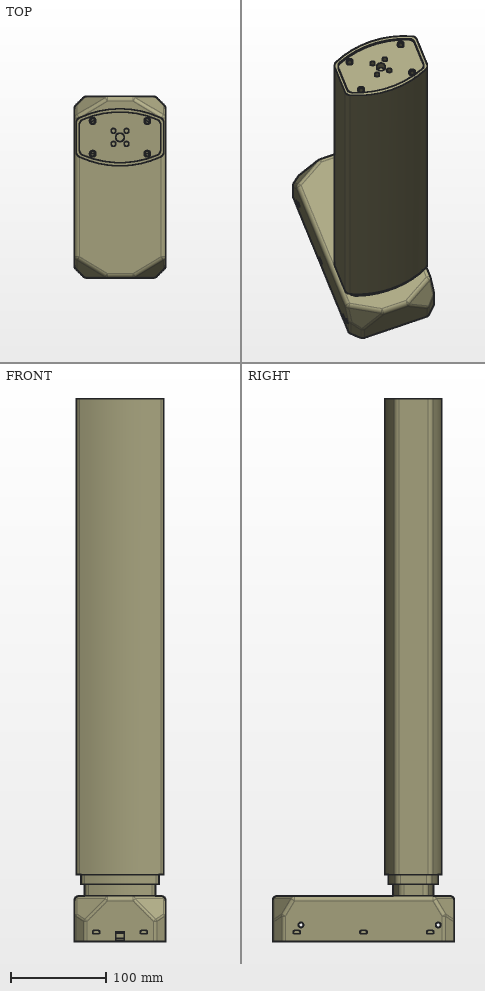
import cadquery as cq
import math

total_height = 569.75

base_width = 96.0
base_length = 190.79
base_height = 48.0
base_back_y = 43.2
base_front_y = base_back_y - base_length
base_center_y = base_back_y - base_length / 2
base_corner_chamfer = 11.0
base_edge_radius = 5.0

facet_reach_x = 37.0
facet_reach_y = 0.6 * facet_reach_x
facet_reach_z = facet_reach_x

slot_length = 7.6
slot_height = 3.4
slot_depth = 8.0
slot_z = 10.0
front_slot_spacing = 50.0
side_slot_spacing = 70.0

cross_hole_diameter = 5.0
cross_hole_z = 17.5
cross_hole_back_y = base_back_y - 17.0
cross_hole_spacing = 144.0

socket_size = 8.6
socket_z = 6.0
socket_depth = 8.0
connector_back_depth = 3.0
connector_tongue_height = 5.2
connector_tongue_length = 3.5

face_arc_radius = 100.0
stage_corner_radius = 6.0
outer_size = (92.0, 60.0)
outer_bottom = 70.3
outer_wall = 3.4
bore_size = (outer_size[0] - 2 * outer_wall, outer_size[1] - 2 * outer_wall)
middle_size = (82.2, bore_size[1])
middle_bottom = 60.0
inner_size = (74.6, 42.8)
inner_bottom = base_height

plate_recess = 3.0
plate_thickness = 12.0
plate_top = total_height - plate_recess
plate_bottom = plate_top - plate_thickness
corner_hole_spacing = (57.2, 34.4)
corner_hole_diameter = 5.0
corner_counterbore_diameter = 6.8
corner_counterbore_depth = 2.0
center_hole_diameter = 9.0
mount_hole_diameter = 5.0
mount_hole_spacing = 13.7


def stage_prism(size, bottom, top):
    """Column section: flat sides, arched front and back, rounded corners."""
    half_width = size[0] / 2
    half_depth = size[1] / 2
    arch_rise = face_arc_radius - math.sqrt(face_arc_radius**2 - half_width**2)
    half_side = half_depth - arch_rise
    return (
        cq.Workplane("XY", origin=(0, 0, bottom))
        .moveTo(-half_width, -half_side)
        .threePointArc((0, -half_depth), (half_width, -half_side))
        .lineTo(half_width, half_side)
        .threePointArc((0, half_depth), (-half_width, half_side))
        .close()
        .extrude(top - bottom)
        .edges("|Z")
        .fillet(stage_corner_radius)
    )


def facet_cutter(side_x, side_y):
    """Tetrahedron that slices the slanted facet off one top corner of the foot."""
    corner_y = base_center_y + side_y * base_length / 2
    corner = cq.Vector(side_x * base_width / 2, corner_y, base_height)
    along_x = corner + cq.Vector(-side_x * facet_reach_x, 0, 0)
    along_y = corner + cq.Vector(0, -side_y * facet_reach_y, 0)
    along_z = corner + cq.Vector(0, 0, -facet_reach_z)
    triangles = [
        [corner, along_x, along_y],
        [corner, along_y, along_z],
        [corner, along_z, along_x],
        [along_x, along_y, along_z],
    ]
    faces = [cq.Face.makeFromWires(cq.Wire.makePolygon(points, close=True)) for points in triangles]
    return cq.Workplane(cq.Solid.makeSolid(cq.Shell.makeShell(faces)))


def base_block():
    """Foot block with cut corners and rounded edges, flat underneath."""
    block = (
        cq.Workplane("XY", origin=(0, base_center_y, 0))
        .rect(base_width, base_length)
        .extrude(base_height)
        .edges("|Z")
        .chamfer(base_corner_chamfer)
    )
    for side_x in (-1, 1):
        for side_y in (-1, 1):
            block = block.cut(facet_cutter(side_x, side_y))
    return block.edges("not <Z").fillet(base_edge_radius)


def front_slots():
    """Pair of blind slots entering the front wall."""
    half_spacing = front_slot_spacing / 2
    return (
        cq.Workplane("XZ", origin=(0, base_front_y, slot_z))
        .pushPoints([(-half_spacing, 0), (half_spacing, 0)])
        .slot2D(slot_length, slot_height)
        .extrude(-slot_depth)
    )


def side_slots(side):
    """Row of three blind slots entering one side wall; side is -1 or 1."""
    return (
        cq.Workplane("YZ", origin=(side * base_width / 2, base_center_y, slot_z))
        .pushPoints([(-side_slot_spacing, 0), (0, 0), (side_slot_spacing, 0)])
        .slot2D(slot_length, slot_height)
        .extrude(-side * slot_depth)
    )


def cross_holes():
    """Two holes running through the foot along X."""
    return (
        cq.Workplane("YZ", origin=(0, 0, cross_hole_z))
        .pushPoints([(cross_hole_back_y, 0), (cross_hole_back_y - cross_hole_spacing, 0)])
        .circle(cross_hole_diameter / 2)
        .extrude(base_width / 2, both=True)
    )


def front_pocket(width, height, start_depth, end_depth):
    """Block centred on the socket, between two depths behind the front wall."""
    return (
        cq.Workplane("XZ", origin=(0, base_front_y + start_depth, socket_z))
        .rect(width, height)
        .extrude(start_depth - end_depth)
    )


def make_base():
    base = base_block()
    base = base.cut(front_slots())
    for side in (-1, 1):
        base = base.cut(side_slots(side))
    base = base.cut(cross_holes())
    return base.cut(front_pocket(socket_size, socket_size, 0, socket_depth))


def make_connector():
    """Connector filling the back of the socket, with a flat tongue toward the opening."""
    body_front = socket_depth - connector_back_depth
    tongue_front = body_front - connector_tongue_length
    body = front_pocket(socket_size, socket_size, body_front, socket_depth)
    tongue = front_pocket(socket_size, connector_tongue_height, tongue_front, body_front)
    return body.union(tongue)


def make_outer_tube():
    tube = stage_prism(outer_size, outer_bottom, total_height)
    return tube.cut(stage_prism(bore_size, outer_bottom, total_height))


def make_middle_tube():
    """Middle stage, sliding in the outer tube, bored to fit the inner stage."""
    tube = stage_prism(middle_size, middle_bottom, plate_bottom)
    return tube.cut(stage_prism(inner_size, middle_bottom, plate_bottom))


def make_inner_stage():
    """Inner stage standing on the foot."""
    return stage_prism(inner_size, inner_bottom, plate_bottom)


def make_top_plate():
    plate = stage_prism(bore_size, plate_bottom, plate_top)
    plate = (
        plate.faces(">Z")
        .workplane(origin=(0, 0, plate_top))
        .rect(*corner_hole_spacing, forConstruction=True)
        .vertices()
        .cboreHole(corner_hole_diameter, corner_counterbore_diameter, corner_counterbore_depth)
    )
    plate = (
        plate.faces(">Z")
        .workplane(origin=(0, 0, plate_top))
        .hole(center_hole_diameter)
    )
    return (
        plate.faces(">Z")
        .workplane(origin=(0, 0, plate_top))
        .rect(mount_hole_spacing, mount_hole_spacing, forConstruction=True)
        .vertices()
        .hole(mount_hole_diameter)
    )


base = make_base()
connector = make_connector()
outer_tube = make_outer_tube()
middle_tube = make_middle_tube()
inner_stage = make_inner_stage()
top_plate = make_top_plate()

result = cq.Compound.makeCompound(
    [
        base.val(),
        connector.val(),
        outer_tube.val(),
        middle_tube.val(),
        inner_stage.val(),
        top_plate.val(),
    ]
)